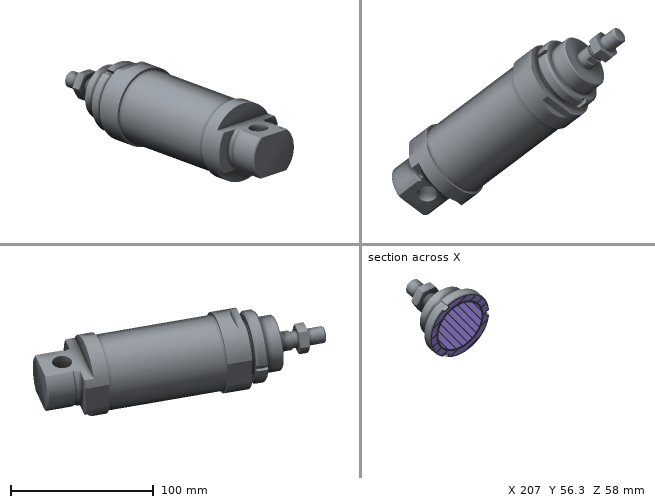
import cadquery as cq
import math


ROD_DIAMETER = 14.0
ROD_THREAD_DIAMETER = 12.0
ROD_THREAD_END_DIAMETER = 10.1
ROD_THREAD_CHAMFER = (ROD_THREAD_DIAMETER - ROD_THREAD_END_DIAMETER) / 2
ROD_SHOULDER = 25.0
ROD_FLAT_END = 29.2
ROD_ACROSS_FLATS = 12.0

HEX_START = 13.2
HEX_END = 20.3
HEX_ACROSS_FLATS = 19.0
HEX_CHAMFER_LENGTH = 0.5

RING_START = 47.6
RING_END = 56.5
RING_DIAMETER = 52.0
RING_CHAMFER = 1.5
RING_SLOT_COUNT = 3
RING_SLOT_WIDTH = 4.1
RING_SLOT_FLOOR_RADIUS = 23.2

THREAD_DIAMETER = 40.0
THREAD_RELIEF_DIAMETER = 38.3
THREAD_CHAMFER = (THREAD_DIAMETER - THREAD_RELIEF_DIAMETER) / 2

GLAND_START = 35.0
GLAND_RELIEF_START = 56.0
GLAND_RELIEF_END = 57.5
FRONT_START = 60.2
FRONT_END = 78.2
WRENCH_FLAT_LENGTH = 5.0
WRENCH_FLAT_HEIGHT = 26.5

COVER_DIAMETER = 58.0
COVER_RADIUS = COVER_DIAMETER / 2
COVER_SIDE_FLAT = 27.3

TUBE_DIAMETER = 54.0

REAR_START = 164.2
REAR_END = 181.7
EYE_END = 207.0
EYE_FLAT_START = 175.0
EYE_THICKNESS = 30.5
EYE_RELIEF_START = 185.0
EYE_RELIEF_END = 186.3
EYE_HOLE_DIAMETER = 14.0
EYE_HOLE_X = 191.0


def revolve(profile):
    """Turn (x, radius) points, running from one end to the other, about the X axis."""
    start = (profile[0][0], 0)
    end = (profile[-1][0], 0)
    outline = cq.Workplane("XY").polyline([start, *profile, end]).close()
    return outline.revolve(360, (0, 0, 0), (1, 0, 0))


def cylinder(x_start, x_end, diameter):
    return cq.Workplane("YZ", origin=(x_start, 0, 0)).circle(diameter / 2).extrude(x_end - x_start)


def cut_sloped_flats(body, x_start, x_end, height, outer_radius):
    """Cut flats at Z = +height and -height that run out at 45 degrees up to outer_radius."""
    rise = outer_radius - height
    for side in (1, -1):
        outline = [
            (x_start, side * height),
            (x_end, side * height),
            (x_end + rise, side * outer_radius),
            (x_start, side * outer_radius),
        ]
        cutter = cq.Workplane("XZ").polyline(outline).close().extrude(outer_radius, both=True)
        body = body.cut(cutter)
    return body


def cut_side_flat(body):
    """Cut the mounting flat on the +Y side of a cover."""
    cutter = cq.Workplane("XY").box(EYE_END, COVER_DIAMETER, COVER_DIAMETER, centered=(False, False, True))
    return body.cut(cutter.translate((0, COVER_SIDE_FLAT, 0)))


def make_rod():
    thread_radius = ROD_THREAD_DIAMETER / 2
    thread_end_radius = ROD_THREAD_END_DIAMETER / 2
    rod = revolve([
        (0, thread_end_radius),
        (ROD_THREAD_CHAMFER, thread_radius),
        (ROD_SHOULDER - ROD_THREAD_CHAMFER, thread_radius),
        (ROD_SHOULDER, thread_end_radius),
        (ROD_SHOULDER, ROD_DIAMETER / 2),
        (GLAND_START, ROD_DIAMETER / 2),
    ])
    return cut_sloped_flats(rod, ROD_SHOULDER, ROD_FLAT_END, ROD_ACROSS_FLATS / 2, ROD_DIAMETER / 2)


def make_hex_nut():
    across_corners = HEX_ACROSS_FLATS / math.cos(math.pi / 6)
    length = HEX_END - HEX_START
    nut = cq.Workplane("YZ", origin=(HEX_START, 0, 0)).polygon(6, across_corners).extrude(length)
    corner_radius = across_corners / 2
    chamfer_radius = HEX_ACROSS_FLATS / 2
    envelope = revolve([
        (HEX_START, chamfer_radius),
        (HEX_START + HEX_CHAMFER_LENGTH, corner_radius),
        (HEX_END - HEX_CHAMFER_LENGTH, corner_radius),
        (HEX_END, chamfer_radius),
    ])
    return nut.intersect(envelope).cut(cylinder(HEX_START, HEX_END, ROD_THREAD_DIAMETER))


def make_ring_nut():
    ring = cylinder(RING_START, RING_END, RING_DIAMETER).edges().chamfer(RING_CHAMFER)
    ring = ring.cut(cylinder(RING_START, RING_END, THREAD_DIAMETER))
    slot = cq.Workplane("XY").box(
        RING_END - RING_START, RING_DIAMETER / 2, RING_SLOT_WIDTH, centered=(False, False, True)
    ).translate((RING_START, RING_SLOT_FLOOR_RADIUS, 0))
    for index in range(RING_SLOT_COUNT):
        ring = ring.cut(slot.rotate((0, 0, 0), (1, 0, 0), index * 360 / RING_SLOT_COUNT))
    return ring


def make_front_cover():
    thread_radius = THREAD_DIAMETER / 2
    relief_radius = THREAD_RELIEF_DIAMETER / 2
    cover = revolve([
        (GLAND_START, relief_radius),
        (GLAND_START + THREAD_CHAMFER, thread_radius),
        (GLAND_RELIEF_START - THREAD_CHAMFER, thread_radius),
        (GLAND_RELIEF_START, relief_radius),
        (GLAND_RELIEF_END - THREAD_CHAMFER, relief_radius),
        (GLAND_RELIEF_END, thread_radius),
        (FRONT_START, thread_radius),
        (FRONT_START, COVER_RADIUS),
        (FRONT_END, COVER_RADIUS),
    ])
    flat_end = FRONT_START + WRENCH_FLAT_LENGTH
    cover = cut_sloped_flats(cover, FRONT_START, flat_end, WRENCH_FLAT_HEIGHT, COVER_RADIUS)
    return cut_side_flat(cover)


def make_tube():
    return cylinder(FRONT_END, REAR_START, TUBE_DIAMETER)


def make_rear_cover():
    thread_radius = THREAD_DIAMETER / 2
    relief_radius = THREAD_RELIEF_DIAMETER / 2
    cover = revolve([
        (REAR_START, COVER_RADIUS),
        (REAR_END, COVER_RADIUS),
        (REAR_END, thread_radius),
        (EYE_RELIEF_START - THREAD_CHAMFER, thread_radius),
        (EYE_RELIEF_START, relief_radius),
        (EYE_RELIEF_END, relief_radius),
        (EYE_RELIEF_END + THREAD_CHAMFER, thread_radius),
        (EYE_END - THREAD_CHAMFER, thread_radius),
        (EYE_END, relief_radius),
    ])
    cover = cut_side_flat(cover)
    eye_length = EYE_END - EYE_FLAT_START
    for side in (1, -1):
        slab = cq.Workplane("XY").box(eye_length, COVER_DIAMETER, COVER_RADIUS, centered=(False, True, True))
        cover = cover.cut(slab.translate((EYE_FLAT_START, 0, side * (EYE_THICKNESS + COVER_RADIUS) / 2)))
    hole = cq.Workplane("XY").center(EYE_HOLE_X, 0).circle(EYE_HOLE_DIAMETER / 2)
    return cover.cut(hole.extrude(EYE_THICKNESS, both=True))


rod = make_rod()
hex_nut = make_hex_nut()
ring_nut = make_ring_nut()
front_cover = make_front_cover()
tube = make_tube()
rear_cover = make_rear_cover()

result = cq.Compound.makeCompound([
    rod.val(),
    hex_nut.val(),
    ring_nut.val(),
    front_cover.val(),
    tube.val(),
    rear_cover.val(),
])